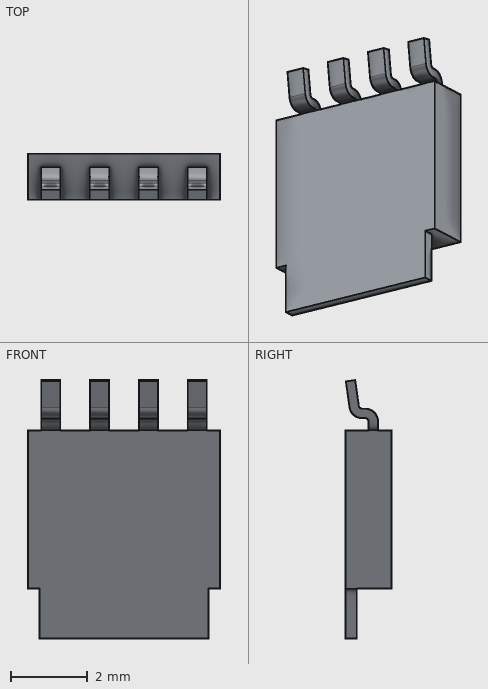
import cadquery as cq
import math

BODY_WIDTH = 5.0
BODY_DEPTH = 1.2
BODY_HEIGHT = 4.11

TAB_WIDTH = 4.4
TAB_THICKNESS = 0.3
TAB_LENGTH = 1.3

LEAD_COUNT = 4
LEAD_PITCH = 1.27
LEAD_WIDTH = 0.5
LEAD_THICKNESS = 0.25
LEAD_BACK_Y = 0.85
LEAD_RISE = 1.31
STUB_HEIGHT = 0.23
SHELF_LENGTH = 0.08
INNER_BEND_RADIUS = 0.085
FOOT_TILT = 8.0

OUTER_BEND_RADIUS = INNER_BEND_RADIUS + LEAD_THICKNESS
LEAD_ROOT_Z = BODY_HEIGHT / 2


def make_body():
    return cq.Workplane("XY").box(BODY_WIDTH, BODY_DEPTH, BODY_HEIGHT, centered=(True, False, False))


def make_tab():
    return (
        cq.Workplane("XY", origin=(0, 0, -TAB_LENGTH))
        .box(TAB_WIDTH, TAB_THICKNESS, TAB_LENGTH + BODY_HEIGHT, centered=(True, False, False))
    )


def point_on_arc(center, radius, degrees):
    """Point in the YZ plane at an angle measured from +Y toward +Z."""
    angle = math.radians(degrees)
    return (center[0] + radius * math.cos(angle), center[1] + radius * math.sin(angle))


def make_lead(x_center):
    first = (LEAD_BACK_Y - OUTER_BEND_RADIUS, BODY_HEIGHT + STUB_HEIGHT)
    second = (first[0] - SHELF_LENGTH, first[1] + INNER_BEND_RADIUS + OUTER_BEND_RADIUS)
    foot_angle = 180 + FOOT_TILT
    middle_angle = (270 + foot_angle) / 2

    bend_end_inner = point_on_arc(second, INNER_BEND_RADIUS, foot_angle)
    bend_end_outer = point_on_arc(second, OUTER_BEND_RADIUS, foot_angle)

    tilt = math.radians(FOOT_TILT)
    foot_rise = BODY_HEIGHT + LEAD_RISE - bend_end_inner[1]
    foot_shift = foot_rise * math.tan(tilt)
    tip_inner = (bend_end_inner[0] - foot_shift, bend_end_inner[1] + foot_rise)
    tip_outer = (bend_end_outer[0] - foot_shift, bend_end_outer[1] + foot_rise)

    return (
        cq.Workplane("YZ", origin=(x_center - LEAD_WIDTH / 2, 0, 0))
        .moveTo(LEAD_BACK_Y, LEAD_ROOT_Z)
        .lineTo(*point_on_arc(first, OUTER_BEND_RADIUS, 0))
        .threePointArc(
            point_on_arc(first, OUTER_BEND_RADIUS, 45),
            point_on_arc(first, OUTER_BEND_RADIUS, 90),
        )
        .lineTo(*point_on_arc(second, INNER_BEND_RADIUS, 270))
        .threePointArc(point_on_arc(second, INNER_BEND_RADIUS, middle_angle), bend_end_inner)
        .lineTo(*tip_inner)
        .lineTo(*tip_outer)
        .lineTo(*bend_end_outer)
        .threePointArc(
            point_on_arc(second, OUTER_BEND_RADIUS, middle_angle),
            point_on_arc(second, OUTER_BEND_RADIUS, 270),
        )
        .lineTo(*point_on_arc(first, INNER_BEND_RADIUS, 90))
        .threePointArc(
            point_on_arc(first, INNER_BEND_RADIUS, 45),
            point_on_arc(first, INNER_BEND_RADIUS, 0),
        )
        .lineTo(LEAD_BACK_Y - LEAD_THICKNESS, LEAD_ROOT_Z)
        .close()
        .extrude(LEAD_WIDTH)
    )


result = make_body().union(make_tab())
for index in range(LEAD_COUNT):
    lead_x = (index - (LEAD_COUNT - 1) / 2) * LEAD_PITCH
    result = result.union(make_lead(lead_x))